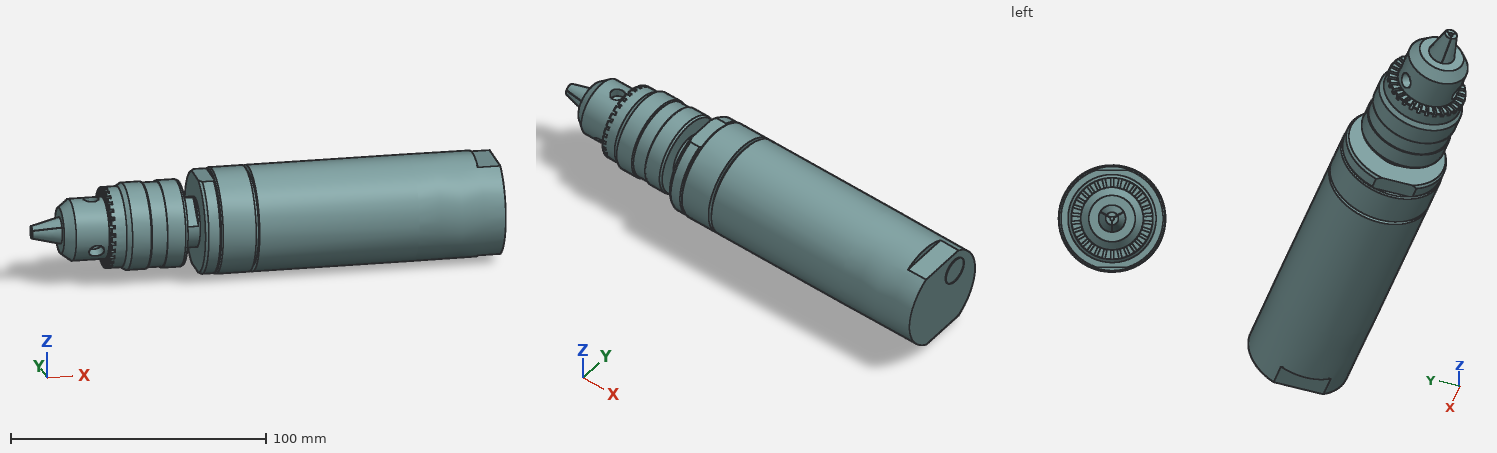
import cadquery as cq
import math


nose_x = 11.3
nose_chamfer_end_x = 15.4
sleeve_x = 28.65
sleeve_cone_x = 34.9
sleeve_cone_end_x = 36.9
band_x = 44.9
band_end_x = 51.0
chuck_end_x = 59.2
neck_x = 60.4
neck_flats_end_x = 64.8
flange_x = 65.5
collar_x = 71.8
groove_x = 85.6
groove_end_x = 87.0
taper_x = 151.0
overall_length = 186.0
port_thickness = 0.4
body_end_x = overall_length - port_thickness

tip_diameter = 5.0
jaw_root_diameter = 10.6
nose_diameter = 18.2
chuck_body_diameter = 24.5
sleeve_diameter = 32.0
grip_diameter = 34.5
band_diameter = 33.5
chuck_boss_diameter = 19.3
chuck_boss_rear_diameter = 18.2
neck_diameter = 20.0
flange_diameter = 41.5
body_diameter = 42.0
groove_diameter = 37.6
body_end_diameter = 41.7

sleeve_edge_chamfer = 0.4
sleeve_edge_chamfer_height = 0.15
band_chamfer = 0.5
chuck_rear_chamfer = 1.0
chuck_rear_chamfer_height = 0.5
flange_chamfer = 1.2
flange_chamfer_height = 0.75
collar_chamfer = 0.6

jaw_count = 3
jaw_bore_diameter = 1.6
jaw_slit_width = 0.2
first_jaw_slit_angle = -90

key_hole_count = 3
key_hole_diameter = 6.0
key_hole_x = 23.9
key_hole_depth = 4.0
first_key_hole_angle = 90
drill_point_angle = 118
tooth_count = 30
first_tooth_gap_angle = 90
tooth_gap_width = 1.2
tooth_gap_depth = 1.75
tooth_root_radius = 12.4

neck_flats_width = 15.0
neck_flats_angle = 131
flange_flats_width = 38.0
rear_flats_width = 36.3
rear_flats_length = 9.0

port_diameter = 11.45
port_y = 7.6
port_z = 9.05


def make_turned_body():
    """Revolve the stepped profile of the whole tool about the X axis."""
    flange_edge_diameter = flange_diameter - 2 * flange_chamfer_height
    joint_diameter = body_diameter - 2 * collar_chamfer
    chuck_rear_diameter = grip_diameter - 2 * chuck_rear_chamfer_height
    stations = [
        (0, tip_diameter),
        (nose_x, jaw_root_diameter),
        (nose_x, nose_diameter),
        (nose_chamfer_end_x, chuck_body_diameter),
        (sleeve_x, chuck_body_diameter),
        (sleeve_x, sleeve_diameter - 2 * sleeve_edge_chamfer_height),
        (sleeve_x + sleeve_edge_chamfer, sleeve_diameter),
        (sleeve_cone_x, sleeve_diameter),
        (sleeve_cone_end_x, grip_diameter),
        (band_x - band_chamfer, grip_diameter),
        (band_x, band_diameter),
        (band_end_x, band_diameter),
        (band_end_x, grip_diameter),
        (chuck_end_x - chuck_rear_chamfer, grip_diameter),
        (chuck_end_x, chuck_rear_diameter),
        (chuck_end_x, chuck_boss_diameter),
        (neck_x, chuck_boss_rear_diameter),
        (neck_x, neck_diameter),
        (flange_x, neck_diameter),
        (flange_x, flange_edge_diameter),
        (flange_x + flange_chamfer, flange_diameter),
        (collar_x - collar_chamfer, flange_diameter),
        (collar_x, joint_diameter),
        (collar_x + collar_chamfer, body_diameter),
        (groove_x, body_diameter),
        (groove_x, groove_diameter),
        (groove_end_x, groove_diameter),
        (groove_end_x, body_diameter),
        (taper_x, body_diameter),
        (body_end_x, body_end_diameter),
    ]
    outline = [(x, diameter / 2) for x, diameter in stations]
    profile = cq.Workplane("XY").polyline([(0, 0)] + outline + [(body_end_x, 0)]).close()
    return profile.revolve(360, (0, 0, 0), (1, 0, 0))


def box_from(start_x, length, width_y, height_z):
    """Box centred on the axis in Y and Z, running back from start_x."""
    return cq.Workplane("XY").box(length, width_y, height_z, centered=(False, True, True)).translate(
        (start_x, 0, 0)
    )


def turn_about_axis(shape, angle):
    return shape.rotate((0, 0, 0), (1, 0, 0), angle)


def flats_cutter(start_x, end_x, flats_width, angle=0):
    """Material outside two parallel flats; at angle 0 the flats face +Z and -Z."""
    length = end_x - start_x
    stock_size = 2 * body_diameter
    stock = box_from(start_x, length, stock_size, stock_size)
    kept_core = box_from(start_x, length, stock_size, flats_width)
    return turn_about_axis(stock.cut(kept_core), angle)


def cut_jaws(body):
    """Split the jaw cone into three jaws around a central bore."""
    bore = cq.Workplane("YZ").circle(jaw_bore_diameter / 2).extrude(nose_x)
    body = body.cut(bore)
    slit_length = jaw_root_diameter
    for index in range(jaw_count):
        angle = first_jaw_slit_angle + index * 360 / jaw_count
        slit = box_from(0, nose_x, slit_length, jaw_slit_width).translate((0, slit_length / 2, 0))
        body = body.cut(turn_about_axis(slit, angle))
    return body


def cut_key_holes(body):
    """Drill the radial chuck key holes, each ending in a drill point."""
    hole_radius = key_hole_diameter / 2
    surface_radius = chuck_body_diameter / 2
    floor_radius = surface_radius - key_hole_depth
    point_radius = floor_radius - hole_radius / math.tan(math.radians(drill_point_angle / 2))
    drill = (
        cq.Workplane("XY")
        .polyline(
            [
                (0, point_radius),
                (hole_radius, floor_radius),
                (hole_radius, surface_radius),
                (0, surface_radius),
            ]
        )
        .close()
        .revolve(360, (0, 0, 0), (0, 1, 0))
        .translate((key_hole_x, 0, 0))
    )
    for index in range(key_hole_count):
        angle = first_key_hole_angle + index * 360 / key_hole_count
        body = body.cut(turn_about_axis(drill, angle))
    return body


def cut_sleeve_teeth(body):
    """Cut the radial gaps between the key teeth in the front face of the sleeve."""
    gap_length = sleeve_diameter / 2
    gap = box_from(sleeve_x, tooth_gap_depth, gap_length, tooth_gap_width)
    gap = gap.translate((0, tooth_root_radius + gap_length / 2, 0))
    gaps = []
    for index in range(tooth_count):
        angle = first_tooth_gap_angle + index * 360 / tooth_count
        gaps.append(turn_about_axis(gap, angle).val())
    return body.cut(cq.Workplane(cq.Compound.makeCompound(gaps)))


def cut_wrench_flats(body):
    body = body.cut(flats_cutter(neck_x, neck_flats_end_x, neck_flats_width, neck_flats_angle - 90))
    body = body.cut(flats_cutter(flange_x, collar_x, flange_flats_width))
    return body.cut(flats_cutter(body_end_x - rear_flats_length, body_end_x, rear_flats_width))


def add_rear_port(body):
    port = (
        cq.Workplane("YZ")
        .workplane(offset=body_end_x)
        .center(port_y, port_z)
        .circle(port_diameter / 2)
        .extrude(port_thickness)
    )
    return body.union(port)


result = make_turned_body()
result = cut_jaws(result)
result = cut_key_holes(result)
result = cut_sleeve_teeth(result)
result = cut_wrench_flats(result)
result = add_rear_port(result)